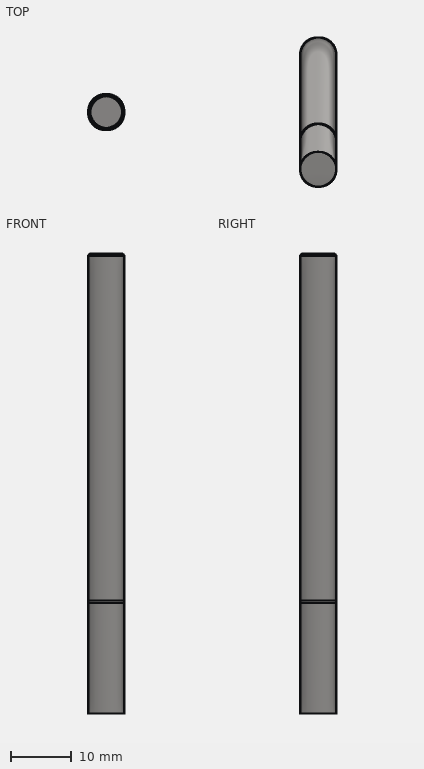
import cadquery as cq

TOTAL_LENGTH = 76.0
DIAMETER = 6.0
TIP_LENGTH = 18.25
JOINT_THICKNESS = 0.45
END_CHAMFER = 0.4

SHANK_BASE = TIP_LENGTH + JOINT_THICKNESS
SHANK_LENGTH = TOTAL_LENGTH - SHANK_BASE


def rod_section(base_height, length):
    """Solid cylinder on the Z axis, starting at the given height."""
    return cq.Workplane("XY").workplane(offset=base_height).circle(DIAMETER / 2).extrude(length)


def make_tip():
    return rod_section(0, TIP_LENGTH)


def make_joint():
    return rod_section(TIP_LENGTH, JOINT_THICKNESS)


def make_shank():
    return rod_section(SHANK_BASE, SHANK_LENGTH).faces(">Z").chamfer(END_CHAMFER)


tip = make_tip()
joint = make_joint()
shank = make_shank()

result = cq.Compound.makeCompound([tip.val(), joint.val(), shank.val()])